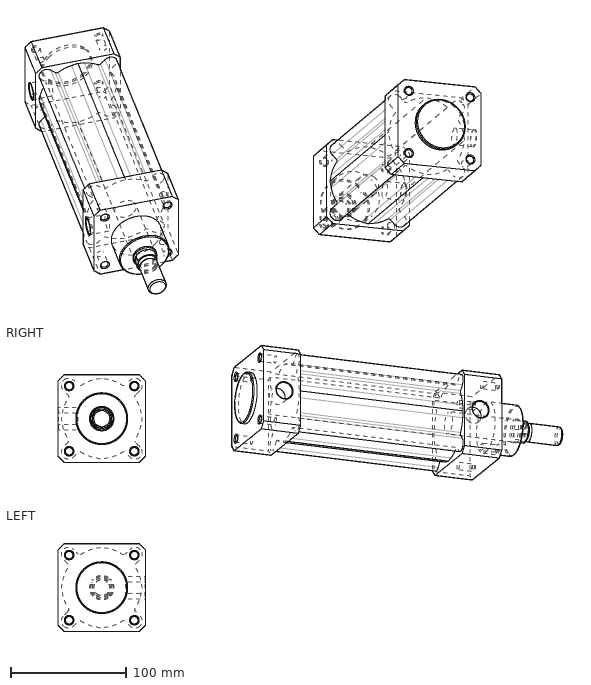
import cadquery as cq
import math

REAR_CAP_X = 3.8
BARREL_X = 38.2
FRONT_CAP_X = 190.5
BOSS_X = 225.2
BOSS_END_X = 251.7
FLAT_START_X = 255.0
FLAT_END_X = 261.5
NECK_X = 263.0
THREAD_X = 265.0
THREAD_CHAMFER_X = 292.5
ROD_END_X = 294.0

CAP_SIZE = 76.0
CAP_CHAMFER = 5.5
SPIGOT_D = 45.0
SPIGOT_CHAMFER = 1.0
MOUNT_OFFSET = 28.2
MOUNT_HOLE_R = 3.2
MOUNT_CHAMFER = 1.0
MOUNT_DEPTH = 14.7
PORT_R = 7.4
PORT_CHAMFER = 0.5
PORT_DEPTH = 17.5
PORT_REAR_INSET = 19.5
PORT_FRONT_INSET = 19.7
PORT_OFFSET = 2.4

WIPER_R = 10.5
WIPER_STRAIGHT = 1.8

ROD_R = 9.7
FLAT_OFFSET = 8.5
NECK_R = 6.8
THREAD_R = 8.2
THREAD_TIP_R = 7.0

RIDGE_HEIGHT = 35.0
RIDGE_ANGLE = 10.7
SIDE_R = 31.5
LOBE_OFFSET = 28.8
LOBE_R = RIDGE_HEIGHT - LOBE_OFFSET
CORNER_ANGLE = 45.0
WEB_ANGLE = 90 - CORNER_ANGLE
ROOT_R = 2.0


def along(start, length, angle):
    """Point at a distance and direction (degrees) from a start point."""
    a = math.radians(angle)
    return (start[0] + length * math.cos(a), start[1] + length * math.sin(a))


def rotated(point, angle):
    """Point turned about the cylinder axis."""
    a = math.radians(angle)
    y, z = point
    return (y * math.cos(a) - z * math.sin(a), y * math.sin(a) + z * math.cos(a))


def barrel():
    """Solid extruded barrel between the two caps."""
    crest = (RIDGE_HEIGHT, 0)
    flat_half_width = SIDE_R * math.sin(math.radians(RIDGE_ANGLE))
    flat_end = (RIDGE_HEIGHT - flat_half_width * math.tan(math.radians(RIDGE_ANGLE)), flat_half_width)
    side_center = along(flat_end, -SIDE_R, RIDGE_ANGLE)
    lobe_center = (LOBE_OFFSET, LOBE_OFFSET)
    web_outer = along(lobe_center, LOBE_R, -WEB_ANGLE)

    normal = along((0, 0), 1, -WEB_ANGLE)
    from_side = [w - c for w, c in zip(web_outer, side_center)]
    across = from_side[0] * normal[0] + from_side[1] * normal[1] + ROOT_R
    reach = math.sqrt((SIDE_R + ROOT_R) ** 2 - across ** 2)
    root_center = along(along(side_center, across, -WEB_ANGLE), reach, 90 - WEB_ANGLE)
    side_end_angle = math.degrees(
        math.atan2(root_center[1] - side_center[1], root_center[0] - side_center[0])
    )
    side_mid = along(side_center, SIDE_R, (RIDGE_ANGLE + side_end_angle) / 2)
    side_end = along(side_center, SIDE_R, side_end_angle)
    root_mid = along(root_center, -ROOT_R, (side_end_angle - WEB_ANGLE) / 2)
    web_inner = along(root_center, -ROOT_R, -WEB_ANGLE)
    lobe_tip = along(lobe_center, LOBE_R, CORNER_ANGLE)

    profile = cq.Workplane("YZ", origin=(BARREL_X, 0, 0)).moveTo(*crest)
    half_side = (flat_end, side_mid, side_end, root_mid, web_inner, web_outer)
    for turn in (0, 90, 180, 270):
        rising = [rotated(point, turn) for point in half_side]
        falling = [rotated((z, y), turn) for y, z in half_side]
        flat_a, side_mid_a, side_a, root_mid_a, inner_a, outer_a = rising
        flat_b, side_mid_b, side_b, root_mid_b, inner_b, outer_b = falling
        profile = (
            profile.lineTo(*flat_a)
            .threePointArc(side_mid_a, side_a)
            .threePointArc(root_mid_a, inner_a)
            .lineTo(*outer_a)
            .threePointArc(rotated(lobe_tip, turn), outer_b)
            .lineTo(*inner_b)
            .threePointArc(root_mid_b, side_b)
            .threePointArc(side_mid_b, flat_b)
            .lineTo(*rotated(crest, turn + 90))
        )
    return profile.close().extrude(FRONT_CAP_X - BARREL_X)


def chamfered_hole(origin, direction, radius, chamfer, depth):
    """Tool for a blind hole whose mouth is widened by a 45 degree chamfer."""
    bore = cq.Solid.makeCylinder(radius, depth, origin, direction)
    mouth = cq.Solid.makeCone(radius + chamfer, radius, chamfer, origin, direction)
    return bore.fuse(mouth)


def cap(start_x, end_x, outer_x, port_x, port_z):
    """Square end block with four mounting holes in its outer face and a port in its -Y face."""
    block = (
        cq.Workplane("YZ", origin=(start_x, 0, 0))
        .rect(CAP_SIZE, CAP_SIZE)
        .extrude(end_x - start_x)
        .edges("|X")
        .chamfer(CAP_CHAMFER)
    )
    inward = cq.Vector(1 if outer_x == start_x else -1, 0, 0)
    for y in (-MOUNT_OFFSET, MOUNT_OFFSET):
        for z in (-MOUNT_OFFSET, MOUNT_OFFSET):
            mouth = cq.Vector(outer_x, y, z)
            block = block.cut(
                cq.Workplane(chamfered_hole(mouth, inward, MOUNT_HOLE_R, MOUNT_CHAMFER, MOUNT_DEPTH))
            )
    mouth = cq.Vector(port_x, -CAP_SIZE / 2, port_z)
    port = chamfered_hole(mouth, cq.Vector(0, 1, 0), PORT_R, PORT_CHAMFER, PORT_DEPTH)
    return block.cut(cq.Workplane(port))


def rear_cap():
    """Rear block with its short centring spigot."""
    block = cap(REAR_CAP_X, BARREL_X, REAR_CAP_X, REAR_CAP_X + PORT_REAR_INSET, -PORT_OFFSET)
    spigot = (
        cq.Workplane("YZ").circle(SPIGOT_D / 2).extrude(REAR_CAP_X).faces("<X").chamfer(SPIGOT_CHAMFER)
    )
    return block.union(spigot)


def front_cap():
    """Front block with its boss and wiper lip, bored through for the rod."""
    block = cap(FRONT_CAP_X, BOSS_X, BOSS_X, BOSS_X - PORT_FRONT_INSET, PORT_OFFSET)
    boss = (
        cq.Workplane("YZ", origin=(BOSS_X, 0, 0))
        .circle(SPIGOT_D / 2)
        .extrude(BOSS_END_X - BOSS_X)
        .faces(">X")
        .chamfer(SPIGOT_CHAMFER)
    )
    wiper = (
        cq.Workplane("XY")
        .moveTo(BOSS_END_X, 0)
        .lineTo(BOSS_END_X, WIPER_R)
        .lineTo(BOSS_END_X + WIPER_STRAIGHT, WIPER_R)
        .lineTo(FLAT_START_X, ROD_R)
        .lineTo(FLAT_START_X, 0)
        .close()
        .revolve(360, (0, 0, 0), (1, 0, 0))
    )
    rod_bore = (
        cq.Workplane("YZ", origin=(FRONT_CAP_X, 0, 0)).circle(ROD_R).extrude(FLAT_START_X - FRONT_CAP_X)
    )
    return block.union(boss).union(wiper).cut(rod_bore)


def piston_rod():
    """Rod from the barrel face out to the threaded tip, with a conical neck behind the thread."""
    rod = (
        cq.Workplane("XY")
        .moveTo(FRONT_CAP_X, 0)
        .lineTo(FRONT_CAP_X, ROD_R)
        .lineTo(FLAT_END_X, ROD_R)
        .lineTo(FLAT_END_X, FLAT_OFFSET)
        .lineTo(NECK_X, NECK_R)
        .lineTo(THREAD_X, THREAD_R)
        .lineTo(THREAD_CHAMFER_X, THREAD_R)
        .lineTo(ROD_END_X, THREAD_TIP_R)
        .lineTo(ROD_END_X, 0)
        .close()
        .revolve(360, (0, 0, 0), (1, 0, 0))
    )
    flat_length = FLAT_END_X - FLAT_START_X
    flat_depth = ROD_R - FLAT_OFFSET
    for side in (-1, 1):
        flat = cq.Workplane("XY").box(flat_length, flat_depth, 2 * ROD_R).translate(
            (FLAT_START_X + flat_length / 2, side * (FLAT_OFFSET + flat_depth / 2), 0)
        )
        rod = rod.cut(flat)
    return rod


result = cq.Compound.makeCompound(
    [rear_cap().val(), barrel().val(), front_cap().val(), piston_rod().val()]
)